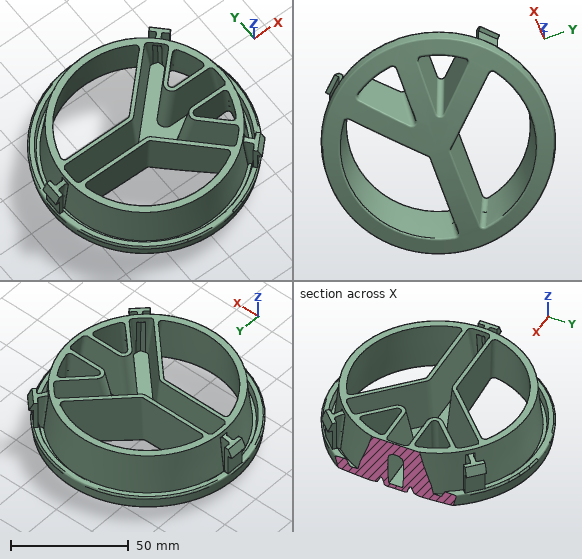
import cadquery as cq
import math

total_height = 28.85
rim_top = 11.15
groove_floor = 7.8
channel_floor = 5.5

rim_radius = 49.95
rim_foot_radius = 49.1
rim_foot_height = 4.6
rim_edge_fillet = 0.8
groove_outer_radius = 46.9
groove_wall_lean = 0.8
wall_top_radius = 42.3
wall_draft = 6.1

spoke_angles = (180, 45, 0, -45)
spoke_half_width = 7.1
spoke_wall = 1.9
window_top_radius = 39.0
channel_top_radius = 40.0
core_draft = 5.0
window_fillet = 1.8
channel_end_fillet = 1.7
underside_fillet = 0.8

snap_angles = (180, 45, -45)
snap_width = 9.0
stem_inner = 47.05
stem_outer = 49.0
hook_tip = 51.0
hook_top = 25.75
hook_tip_height = 21.6
hook_heel_height = 21.3
rib_width = 2.3
rib_flare = 1.0
stem_flare = 0.8
rib_height_at_wall = 27.0

relief_width = 3.9
relief_depth = 1.0
relief_top = total_height - 3.0

wall_overlap = 1.0

dome_radius = (rim_foot_radius**2 + rim_foot_height**2) / (2 * rim_foot_height)
wall_slope = math.tan(math.radians(wall_draft))
core_slope = math.tan(math.radians(core_draft))
channel_half_width = spoke_half_width - spoke_wall
channel_fillet = window_fillet + spoke_wall


def drafted_radius(top_radius, z):
    """Radius at height z of a wall that widens downward from the top face."""
    return top_radius + (total_height - z) * wall_slope


def turn(profile):
    """Revolve a profile drawn in the XZ plane about the Z axis."""
    return profile.revolve(360, (0, 0, 0), (0, 1, 0))


def place_at(solid, angle):
    """Turn a feature built along +X to its place around the Z axis."""
    return solid.rotate((0, 0, 0), (0, 0, 1), angle)


def make_body():
    """Domed underside, grooved rim and tapered wall as one solid."""
    half_edge = rim_foot_radius / 2
    half_edge_height = dome_radius - math.sqrt(dome_radius**2 - half_edge**2)
    profile = (
        cq.Workplane("XZ")
        .threePointArc((half_edge, half_edge_height), (rim_foot_radius, rim_foot_height))
        .lineTo(rim_radius, rim_top)
        .lineTo(groove_outer_radius, rim_top)
        .lineTo(groove_outer_radius - groove_wall_lean, groove_floor)
        .lineTo(drafted_radius(wall_top_radius, groove_floor), groove_floor)
        .lineTo(wall_top_radius, total_height)
        .lineTo(0, total_height)
        .close()
    )
    body = turn(profile)
    rim_edges = [
        edge
        for edge in body.edges("%CIRCLE").vals()
        if edge.radius() > groove_outer_radius + groove_wall_lean
    ]
    return body.newObject(rim_edges).fillet(rim_edge_fillet)


def make_core(top_radius):
    """Full-height cone that widens downward."""
    profile = (
        cq.Workplane("XZ")
        .lineTo(drafted_radius(top_radius, 0), 0)
        .lineTo(top_radius, total_height)
        .lineTo(0, total_height)
        .close()
    )
    return turn(profile)


def make_star(half_width, hub_fillet):
    """Bars radiating from the axis, narrowing downward, rounded where they meet."""
    foot_half_width = half_width - total_height * core_slope
    bar = (
        cq.Workplane("YZ")
        .moveTo(-half_width, total_height)
        .lineTo(half_width, total_height)
        .lineTo(foot_half_width, 0)
        .lineTo(-foot_half_width, 0)
        .close()
        .extrude(rim_radius)
    )
    star = cq.Workplane("XY")
    for angle in spoke_angles:
        star = star.union(place_at(bar, angle))
    hub_reach = rim_radius / 2
    hub_box = cq.selectors.BoxSelector(
        (-hub_reach, -hub_reach, 0), (hub_reach, hub_reach, total_height)
    )
    return star.edges("not(#Z or |Z)").edges(hub_box).fillet(hub_fillet)


def round_ends(solid, top_radius, fillet):
    """Round the upright edges lying on the conical outer face of a cutter."""
    ends = [
        edge
        for edge in solid.edges().vals()
        if math.hypot(edge.Center().x, edge.Center().y) > top_radius
        and edge.BoundingBox().zlen > total_height / 2
    ]
    return solid.newObject(ends).fillet(fillet)


def make_windows():
    """Through openings between the spokes."""
    star = make_star(spoke_half_width, window_fillet)
    windows = make_core(window_top_radius).cut(star)
    return round_ends(windows, window_top_radius, window_fillet)


def make_channel():
    """Blind star-shaped pocket inside the spokes, with a flat floor."""
    star = make_star(channel_half_width, channel_fillet)
    channel = make_core(channel_top_radius).intersect(star)
    channel = round_ends(channel, channel_top_radius, channel_end_fillet)
    below_floor = cq.Workplane("XY").circle(rim_radius).extrude(channel_floor)
    return channel.cut(below_floor)


def make_plate(points, width):
    """Plate of the given width centred on the XZ plane, from (radius, height) points."""
    return cq.Workplane("XZ").polyline(points).close().extrude(width / 2, both=True)


def make_flared_rib():
    """Rib from wall to stem, spreading through concave flares onto the sloping wall."""

    def section(z):
        wall = drafted_radius(wall_top_radius, z)
        half_width = rib_width / 2
        return (
            cq.Workplane("XY", origin=(0, 0, z))
            .moveTo(wall - wall_overlap, -half_width - rib_flare)
            .lineTo(wall, -half_width - rib_flare)
            .radiusArc((wall + rib_flare, -half_width), rib_flare)
            .lineTo(stem_inner - stem_flare, -half_width)
            .radiusArc((stem_inner, -half_width - stem_flare), stem_flare)
            .lineTo(stem_outer, -half_width - stem_flare)
            .lineTo(stem_outer, half_width + stem_flare)
            .lineTo(stem_inner, half_width + stem_flare)
            .radiusArc((stem_inner - stem_flare, half_width), stem_flare)
            .lineTo(wall + rib_flare, half_width)
            .radiusArc((wall, half_width + rib_flare), rib_flare)
            .lineTo(wall - wall_overlap, half_width + rib_flare)
            .close()
            .wires()
            .val()
        )

    prism = cq.Workplane(cq.Solid.makeLoft([section(groove_floor), section(total_height)], True))
    wall_inside = drafted_radius(wall_top_radius, total_height) - wall_overlap
    side_profile = [
        (wall_inside, groove_floor),
        (stem_outer, groove_floor),
        (stem_outer, hook_top),
        (stem_inner, hook_top),
        (wall_inside, rib_height_at_wall),
    ]
    return prism.intersect(make_plate(side_profile, snap_width))


def make_snap():
    """Hooked stem tied to the wall by its rib, pointing along +X."""
    hook_profile = [
        (stem_inner, groove_floor),
        (stem_outer, groove_floor),
        (stem_outer, hook_heel_height),
        (hook_tip, hook_tip_height),
        (stem_outer, hook_top),
        (stem_inner, hook_top),
    ]
    return make_plate(hook_profile, snap_width).union(make_flared_rib())


def make_relief():
    """V-shaped groove following the slope of the channel end wall, along +X."""

    def section(z):
        wall = drafted_radius(channel_top_radius, z)
        half_width = relief_width / 2
        return (
            cq.Workplane("XY", origin=(0, 0, z))
            .moveTo(wall - wall_overlap, -half_width)
            .lineTo(wall, -half_width)
            .lineTo(wall + relief_depth, 0)
            .lineTo(wall, half_width)
            .lineTo(wall - wall_overlap, half_width)
            .close()
            .wires()
            .val()
        )

    return cq.Workplane(cq.Solid.makeLoft([section(channel_floor), section(relief_top)], True))


def round_underside(body):
    """Round the edges where the windows break through the dome."""
    edges = [
        edge
        for edge in body.edges().vals()
        if edge.BoundingBox().zmax < rim_foot_height
    ]
    return body.newObject(edges).fillet(underside_fillet)


result = round_underside(make_body().cut(make_windows()))
result = result.cut(make_channel())
for snap_angle in snap_angles:
    result = result.union(place_at(make_snap(), snap_angle))
    result = result.cut(place_at(make_relief(), snap_angle))